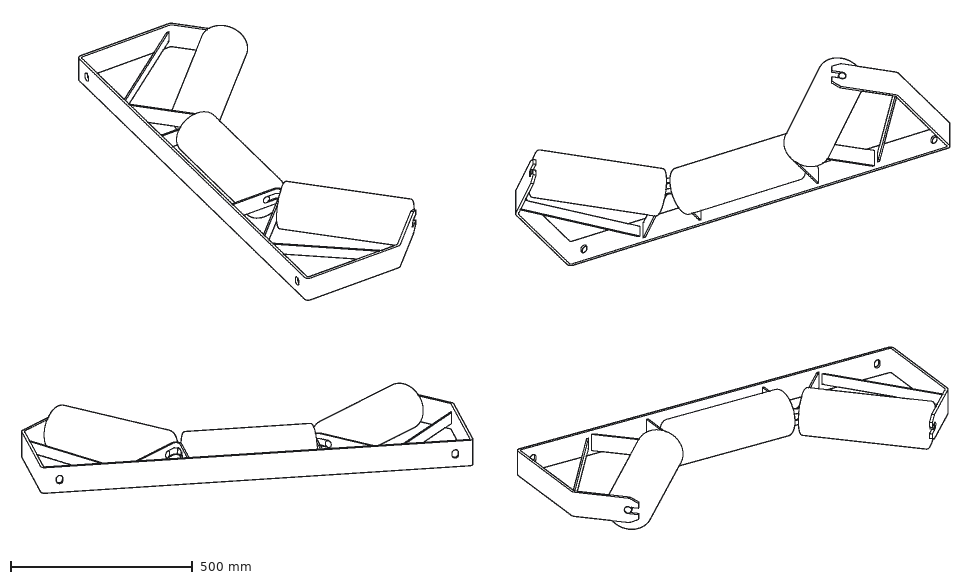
import cadquery as cq
import math

frame_width = 1210.0
frame_thickness = 8.0
frame_height = 75.0
foot_bend_radius = 12.0
wing_bend_radius = 16.0
wing_angle = math.radians(45)

roller_diameter = 133.0
roller_length = 360.0
roller_edge_radius = 5.0
shaft_diameter = 20.0
plate_gap = 4.0
center_roller_y = 125.0
wing_roller_x = 358.5
wing_roller_y = 275.92

bracket_thickness = 5.0
bracket_height = 50.0
bracket_bend_radius = 15.0

strut_thickness = 5.0
strut_height = 32.0
strut_top_y = 288.0
strut_foot_x = 379.0

flange_reach = 30.0
end_cut_length = 25.0
end_cut_depth = 12.5

mount_hole_x = 554.0
mount_hole_width = 18.0
mount_hole_length = 24.0

plate_distance = roller_length / 2 + plate_gap
shaft_half_length = plate_distance + bracket_thickness
frame_half_width = frame_width / 2

wing_sin = math.sin(wing_angle)
wing_cos = math.cos(wing_angle)


def from_right_wing(outward, upward):
    """Point at given distances from the right wing roller's middle, along its axis and up its flange."""
    x = wing_roller_x + outward * wing_cos - upward * wing_sin
    y = wing_roller_y + outward * wing_sin + upward * wing_cos
    return (x, y)


def line_at_x(point, x):
    """Y of the flange-parallel line through `point` at the given X."""
    return point[1] - (x - point[0]) * wing_cos / wing_sin


def bar(outline, height):
    """Solid with a closed outline in XY, centred on Z = 0."""
    return cq.Workplane("XY").polyline(outline).close().extrude(height / 2, both=True)


def round_bend(body, outer, inner, outer_radius, thickness):
    """Round the upright edges at the outer and inner corner points of a bend."""
    for corner, radius in ((outer, outer_radius), (inner, outer_radius - thickness)):
        body = body.edges(cq.selectors.NearestToPointSelector((corner[0], corner[1], 0))).fillet(radius)
    return body


def mirrored(point):
    """The same point on the other side of the YZ plane."""
    return (-point[0], point[1])


def wing_placed(body):
    """Move a body from the origin, lying along X, to the right wing roller's place."""
    turned = body.rotate((0, 0, 0), (0, 0, 1), math.degrees(wing_angle))
    return turned.translate((wing_roller_x, wing_roller_y, 0))


def shaft_slot():
    """Round-bottomed slot, open upward, for a shaft along X, wide enough in X to cross any support plate."""
    depth = 2 * frame_thickness
    rise = 2 * bracket_height
    bottom = cq.Workplane("YZ").circle(shaft_diameter / 2).extrude(depth)
    sides = cq.Workplane("XY").box(depth, rise, shaft_diameter, centered=(False, False, True))
    return bottom.union(sides).translate((plate_distance - plate_gap / 2, 0, 0))


def make_frame():
    """Base, side plates and wing flanges, bent from one bar."""
    inset = frame_half_width - frame_thickness
    face = plate_distance
    back = plate_distance + frame_thickness
    inner_tip = from_right_wing(face, flange_reach)
    outer_tip = from_right_wing(back, flange_reach)
    outer_bend = (frame_half_width, line_at_x(outer_tip, frame_half_width))
    inner_bend = (inset, line_at_x(inner_tip, inset))
    outer_foot = (frame_half_width, 0)
    inner_foot = (inset, frame_thickness)
    right = [outer_foot, outer_bend, outer_tip, inner_tip, inner_bend, inner_foot]
    frame = bar(right + [mirrored(point) for point in reversed(right)], frame_height)
    for place in (lambda point: point, mirrored):
        frame = round_bend(frame, place(outer_foot), place(inner_foot), foot_bend_radius, frame_thickness)
        frame = round_bend(frame, place(outer_bend), place(inner_bend), wing_bend_radius, frame_thickness)
    half_height = frame_height / 2
    corner_triangle = [
        (flange_reach, half_height),
        (flange_reach, half_height - end_cut_depth),
        (flange_reach - end_cut_length, half_height),
    ]
    corner_cut = (
        cq.Workplane("YZ", origin=(face, 0, 0))
        .polyline(corner_triangle).close().extrude(frame_thickness)
    )
    end_cuts = corner_cut.union(corner_cut.mirror("XY")).union(shaft_slot())
    right_cuts = wing_placed(end_cuts)
    holes = (
        cq.Workplane("XZ").pushPoints([(-mount_hole_x, 0), (mount_hole_x, 0)])
        .slot2D(mount_hole_length, mount_hole_width, 90).extrude(-frame_thickness)
    )
    return frame.cut(right_cuts).cut(right_cuts.mirror("YZ")).cut(holes)


def make_bracket():
    """Right inner bracket: a post beside the center roller, bent over into a leg under the wing roller."""
    face = plate_distance
    back = face + bracket_thickness
    upper = from_right_wing(-face, 0)
    lower = from_right_wing(-back, 0)
    outer_bend = (face, line_at_x(upper, face))
    inner_bend = (back, line_at_x(lower, back))

    def foot(point):
        """Where the leg line through `point` meets the top of the base."""
        return (point[0] + (point[1] - frame_thickness) * wing_sin / wing_cos, frame_thickness)

    outline = [
        (face, frame_thickness),
        outer_bend,
        foot(upper),
        foot(lower),
        inner_bend,
        (back, frame_thickness),
    ]
    bracket = bar(outline, bracket_height)
    bracket = round_bend(bracket, outer_bend, inner_bend, bracket_bend_radius, bracket_thickness)
    post_slot = shaft_slot().translate((0, center_roller_y, 0))
    leg_slot = wing_placed(shaft_slot().mirror("YZ"))
    return bracket.cut(post_slot).cut(leg_slot)


def make_strut():
    """Right strut, cut to sit flat on the base and against the side plate."""
    top_x = frame_half_width - frame_thickness
    run = top_x - strut_foot_x
    rise = strut_top_y - frame_thickness
    length = math.hypot(run, rise)
    half_on_base = strut_thickness / 2 * length / rise
    half_on_side = strut_thickness / 2 * length / run
    outline = [
        (strut_foot_x - half_on_base, frame_thickness),
        (strut_foot_x + half_on_base, frame_thickness),
        (top_x, strut_top_y - half_on_side),
        (top_x, strut_top_y + half_on_side),
    ]
    return bar(outline, strut_height)


def make_roller():
    """Roller with its shaft ends, lying along X at the origin."""
    shell = (
        cq.Workplane("YZ", origin=(-roller_length / 2, 0, 0))
        .circle(roller_diameter / 2).extrude(roller_length)
        .edges("%CIRCLE").fillet(roller_edge_radius)
    )
    shaft = (
        cq.Workplane("YZ", origin=(-shaft_half_length, 0, 0))
        .circle(shaft_diameter / 2).extrude(2 * shaft_half_length)
    )
    return shell.union(shaft)


frame = make_frame()
right_bracket = make_bracket()
right_strut = make_strut()
roller = make_roller()
center_roller = roller.translate((0, center_roller_y, 0))
right_roller = wing_placed(roller)

bodies = [frame, center_roller]
for right_body in (right_bracket, right_strut, right_roller):
    bodies += [right_body, right_body.mirror("YZ")]

result = cq.Compound.makeCompound([body.val() for body in bodies])